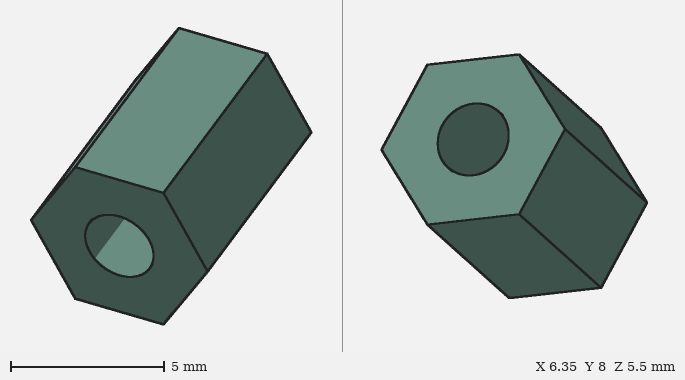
import cadquery as cq
import math

SIDES = 6
ACROSS_FLATS = 5.5
LENGTH = 8.0
BORE_DIAMETER = 2.46

ACROSS_CORNERS = ACROSS_FLATS / math.cos(math.pi / SIDES)
BORE_RADIUS = BORE_DIAMETER / 2
HALF_LENGTH = LENGTH / 2


def hex_body():
    """Hexagonal prism centred on the origin, two corners on the X axis and flats facing Z."""
    return cq.Workplane("XZ").polygon(SIDES, ACROSS_CORNERS).extrude(HALF_LENGTH, both=True)


def bore():
    """Cylinder running the full length of the body."""
    return cq.Workplane("XZ").circle(BORE_RADIUS).extrude(HALF_LENGTH, both=True)


result = hex_body().cut(bore())